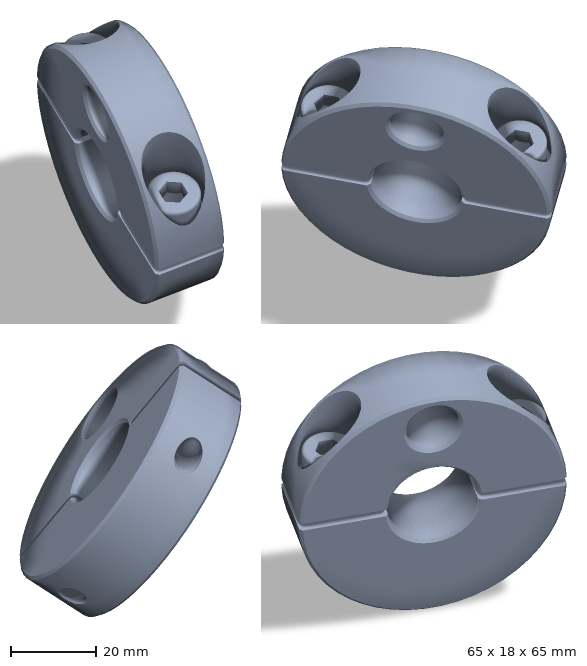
import cadquery as cq
import math


outer_diameter = 65.0
width = 18.0
bore_diameter = 22.0
split_gap = 2.0
edge_chamfer = 0.7

side_hole_diameter = 13.0
side_hole_height = 23.45

screw_offset = 23.0
shank_diameter = 8.0
head_diameter = 13.0
head_height = shank_diameter
head_edge_radius = 0.8
head_top = 15.0
screw_tip = -17.4
hex_across_flats = 6.0
hex_depth = 4.0
drill_point_angle = 120.0

counterbore_diameter = 15.0
tapped_hole_diameter = 6.6

outer_radius = outer_diameter / 2
head_seat = head_top - head_height
hex_across_corners = hex_across_flats / math.cos(math.radians(30))
screw_positions = [(-screw_offset, 0), (screw_offset, 0)]


def disc_along_y(diameter, z=0):
    """Cylinder as wide as the collar, with its axis along Y."""
    return cq.Workplane("XZ").center(0, z).circle(diameter / 2).extrude(width / 2, both=True)


def chamfered_hole(diameter, z=0):
    """Cutter for a hole along Y, with both of its mouths chamfered."""
    mouth_radius = diameter / 2 + edge_chamfer
    cutter = disc_along_y(diameter, z=z)
    for side in (-1, 1):
        mouth = cq.Solid.makeCone(
            mouth_radius,
            diameter / 2,
            edge_chamfer,
            pnt=cq.Vector(0, side * width / 2, z),
            dir=cq.Vector(0, -side, 0),
        )
        cutter = cutter.union(cq.Workplane(obj=mouth))
    return cutter


def screw_cylinders(diameter, bottom, top):
    """Upright cylinders at both screw positions."""
    return (
        cq.Workplane("XY", origin=(0, 0, bottom))
        .pushPoints(screw_positions)
        .circle(diameter / 2)
        .extrude(top - bottom)
    )


def make_collar_half(side):
    """Half of the bored ring: side is 1 for the upper half and -1 for the lower."""
    ring = disc_along_y(outer_diameter).faces("<Y or >Y").chamfer(edge_chamfer)
    ring = ring.cut(chamfered_hole(bore_diameter))
    half_height = outer_radius - split_gap / 2
    half_middle = side * (split_gap / 2 + half_height / 2)
    half_space = cq.Workplane("XY", origin=(0, 0, half_middle)).box(outer_diameter, width, half_height)
    return ring.intersect(half_space)


def make_upper_half():
    half = make_collar_half(1)
    half = half.cut(chamfered_hole(side_hole_diameter, side_hole_height))
    half = half.cut(screw_cylinders(shank_diameter, 0, head_seat))
    return half.cut(screw_cylinders(counterbore_diameter, head_seat, outer_radius))


def make_lower_half():
    half = make_collar_half(-1)
    half = half.cut(screw_cylinders(shank_diameter, screw_tip, 0))
    return half.cut(screw_cylinders(tapped_hole_diameter, -outer_radius, screw_tip))


def make_hex_socket():
    """Cutter for the hexagonal socket, which ends in a drill point."""
    point_height = hex_across_corners / 2 / math.tan(math.radians(drill_point_angle / 2))
    hexagon = (
        cq.Workplane("XY", origin=(0, 0, head_top))
        .polygon(6, hex_across_corners)
        .extrude(-(hex_depth + point_height))
    )
    pointed_rod = (
        cq.Workplane("XZ", origin=(0, 0, head_top))
        .lineTo(hex_across_corners / 2, 0)
        .lineTo(hex_across_corners / 2, -hex_depth)
        .lineTo(0, -(hex_depth + point_height))
        .close()
        .revolve(360, (0, 0), (0, 1))
    )
    return hexagon.intersect(pointed_rod)


def make_screw(position):
    head = (
        cq.Workplane("XY", origin=(0, 0, head_seat))
        .circle(head_diameter / 2)
        .extrude(head_height)
        .faces(">Z")
        .edges()
        .fillet(head_edge_radius)
    )
    shank = (
        cq.Workplane("XY", origin=(0, 0, screw_tip))
        .circle(shank_diameter / 2)
        .extrude(head_seat - screw_tip)
    )
    x, y = position
    return head.union(shank).cut(make_hex_socket()).translate((x, y, 0))


upper_half = make_upper_half()
lower_half = make_lower_half()
screws = [make_screw(position) for position in screw_positions]

result = cq.Compound.makeCompound(
    [upper_half.val(), lower_half.val(), *[screw.val() for screw in screws]]
)